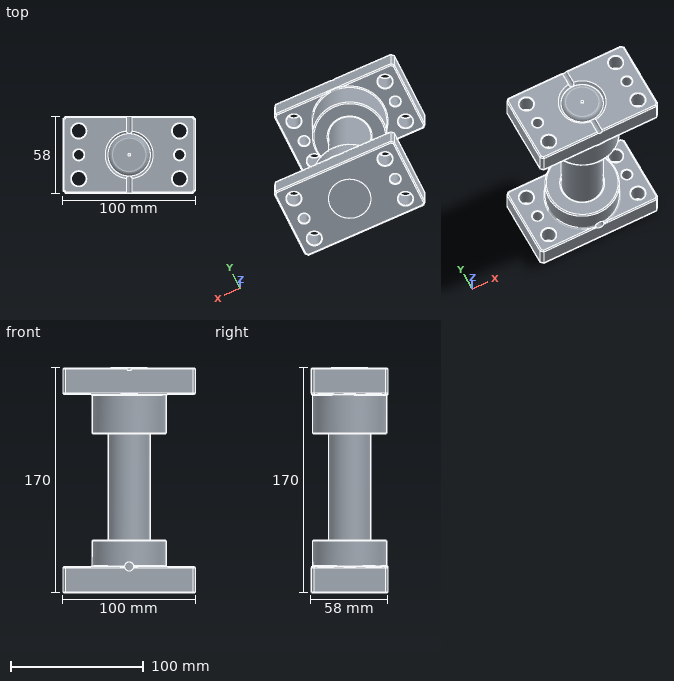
import cadquery as cq

plate_length = 100.0
plate_width = 58.0
plate_height = 20.0
corner_chamfer = 2.0
hole_spacing_x = 76.0
screw_spacing_y = 36.0
screw_hole_diameter = 11.0
dowel_hole_diameter = 8.0
hole_mouth_chamfer = 0.5

edge_break = 1.0

collar_radius = 56.1 / 2
lower_collar_height = plate_height
upper_collar_height = 30.0
root_fillet = 0.8

pin_length = 170.0
pin_radius = 32.0 / 2
pin_protrusion = 0.25
pin_end_fillet = 3.4
center_hole_diameter = 2.0
center_hole_depth = 3.0

bore_lead_in = corner_chamfer
groove_radius = 2.0
oil_hole_diameter = 6.8

upper_face_z = pin_length - pin_protrusion


def cone(bottom_radius, top_radius, bottom_z, height):
    """Cone frustum on the Z axis."""
    base_center = cq.Vector(0, 0, bottom_z)
    return cq.Workplane(cq.Solid.makeCone(bottom_radius, top_radius, height, pnt=base_center))


def make_plate():
    return (
        cq.Workplane("XY")
        .box(plate_length, plate_width, plate_height, centered=(True, True, False))
        .edges("|Z")
        .chamfer(corner_chamfer)
        .faces("<Z or >Z")
        .edges()
        .chamfer(edge_break)
    )


def make_collar(collar_top):
    """Collar whose concave root fillet runs out over the plate's edge chamfers."""
    root_z = plate_height - edge_break
    return (
        cq.Workplane("XZ")
        .moveTo(0, root_z)
        .lineTo(collar_radius + root_fillet, root_z)
        .lineTo(collar_radius + root_fillet, plate_height)
        .radiusArc((collar_radius, plate_height + root_fillet), root_fillet)
        .lineTo(collar_radius, collar_top - edge_break)
        .lineTo(collar_radius - edge_break, collar_top)
        .lineTo(0, collar_top)
        .close()
        .revolve(360, (0, 0, 0), (0, 1, 0))
    )


def bore_cutter(collar_top):
    """Pin bore through plate and collar, with a chamfered mouth at the collar end."""
    bore = cq.Workplane("XY").circle(pin_radius).extrude(collar_top)
    mouth = cone(pin_radius, pin_radius + edge_break, collar_top - edge_break, edge_break)
    return bore.union(mouth)


def hole_cutter(diameter):
    """Hole through the plate, widened by a small chamfer at both faces."""
    radius = diameter / 2
    mouth_radius = radius + hole_mouth_chamfer
    hole = cq.Workplane("XY").circle(radius).extrude(plate_height)
    lower_mouth = cone(mouth_radius, radius, 0, hole_mouth_chamfer)
    upper_mouth = cone(radius, mouth_radius, plate_height - hole_mouth_chamfer, hole_mouth_chamfer)
    return hole.union(lower_mouth).union(upper_mouth)


def cut_mounting_holes(bush):
    """Two screw holes and a dowel hole between them at each end of the plate."""
    screw_hole = hole_cutter(screw_hole_diameter)
    dowel_hole = hole_cutter(dowel_hole_diameter)
    for x in (-hole_spacing_x / 2, hole_spacing_x / 2):
        bush = bush.cut(dowel_hole.translate((x, 0, 0)))
        for y in (-screw_spacing_y / 2, screw_spacing_y / 2):
            bush = bush.cut(screw_hole.translate((x, y, 0)))
    return bush


def guide_bush(collar_height):
    """Plate standing on Z = 0 with its collar above it."""
    collar_top = plate_height + collar_height
    body = make_plate().union(make_collar(collar_top))
    return cut_mounting_holes(body.cut(bore_cutter(collar_top)))


def make_lower_bush():
    oil_hole = (
        cq.Workplane("XZ", origin=(0, 0, plate_height))
        .circle(oil_hole_diameter / 2)
        .extrude(plate_width / 2)
    )
    return guide_bush(lower_collar_height).cut(oil_hole)


def make_upper_bush():
    bush = (
        guide_bush(upper_collar_height)
        .rotate((0, 0, 0), (1, 0, 0), 180)
        .translate((0, 0, upper_face_z))
    )
    lead_in = cone(pin_radius, pin_radius + bore_lead_in, upper_face_z - bore_lead_in, bore_lead_in)
    grooves = (
        cq.Workplane("XZ", origin=(0, 0, upper_face_z))
        .circle(groove_radius)
        .extrude(plate_width / 2, both=True)
    )
    return bush.cut(lead_in).cut(grooves)


def make_guide_pin():
    return (
        cq.Workplane("XY")
        .circle(pin_radius)
        .extrude(pin_length)
        .faces(">Z")
        .edges()
        .fillet(pin_end_fillet)
        .faces(">Z")
        .workplane()
        .hole(center_hole_diameter, center_hole_depth)
    )


lower_bush = make_lower_bush()
upper_bush = make_upper_bush()
guide_pin = make_guide_pin()

bodies = [body.solids().val() for body in (lower_bush, upper_bush, guide_pin)]
result = cq.Compound.makeCompound(bodies)